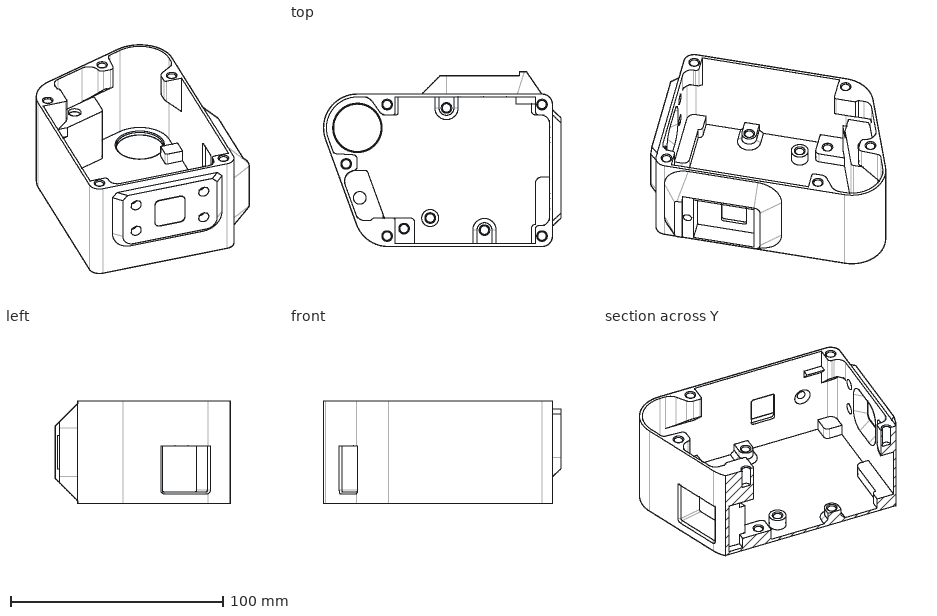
import cadquery as cq
import math

HEIGHT = 48.4
WALL = 1.4
FLOOR = 2.0
TINY = 0.01
CLEAR = 1.0
EPS = 0.2

SCREW_HALF_X = 36.5
SCREW_HALF_Y = 31.0
SCREW_INSET = 5.0
RIGHT = SCREW_HALF_X + SCREW_INSET
BACK = SCREW_HALF_Y + SCREW_INSET
BODY_LENGTH = 108.0
LEFT = RIGHT - BODY_LENGTH
SMALL_RADIUS = 5.0
LARGE_RADIUS = 16.0
SLANT = math.radians(20)

NOSE = (LEFT + LARGE_RADIUS, BACK - LARGE_RADIUS)
HEEL = (NOSE[0] + 2 * NOSE[1] * math.tan(SLANT), -NOSE[1])

SCREW_DIAMETER = 4.0
SCREW_RIM_DIAMETER = 5.0
SCREW_DEPTH = 10.0
SIDE_SCREW = (-55.8, 3.0)

TUBE_DIAMETER = 22.3
TUBE_RIM_DIAMETER = 23.3

BOSS_LEFT_X = -32.7
BOSS_RIGHT_X = 33.4
BOSS_EDGE_RADIUS = 1.5
BOSS_BLEND_RADIUS = 4.2
BOSS_TIP_RADIUS = 1.0
NOSE_SHOULDER_X = -39.0
NOSE_SHOULDER_RADIUS = 3.5
NOSE_WALL_X = -45.0
NOSE_BLEND_RADIUS = 5.5
HEEL_RAMP_X = (-44.3, -43.0)
HEEL_RAMP_DROP = 1.2
HEEL_BLEND_RADIUS = 4.5
SIDE_BOSS_X = -50.6
SIDE_BOSS_Y = (-0.2, 7.7)
SIDE_BOSS_RISE = 0.5
SIDE_BOSS_RADIUS = 2.0
SIDE_BLEND_RADIUS = 5.0
BOSS_INNER_Y = 26.1
HEEL_BOSS_Y = -22.5
BOSS_LIP = 10.6
BOSS_ROOT = BOSS_LIP + BACK - BOSS_INNER_Y
HEEL_BOSS_ROOT = BOSS_LIP + HEEL_BOSS_Y + BACK

BLOCK_TOP = 7.6
BLOCK_RADIUS = 2.0
BLOCK_RIGHT_X = 31.5
BLOCK_LEFT_X = -38.5
NOSE_BLOCK_X = -31.3
NOSE_BLOCK_RADIUS = 1.0
HEEL_BLOCK_X = -23.5
FRONT_BLOCK_Y = -25.5
POST_TOP = BLOCK_TOP
POST_RADIUS = 3.5
POST_FLARE = 2.0
ROUND_POST_RADIUS = 4.0
BACK_POST = (-8.5, 29.4)
FRONT_POST = (9.4, -28.2)
ROUND_POST = (-16.2, -22.5)
BLOCK_HOLE = (-28.5, -27.5)

RECESS_FLOOR = 5.5
RECESS_TOP = 27.2
RECESS_ROOF = 29.0
RECESS_CHAMFER = 1.0
RECESS_BACK_Y = -4.2
RECESS_DEPTH = 12.0
RECESS_DRAFT = math.radians(7)
RECESS_FILLET = 0.8
RECESS_CORNER_Y = -20.2
HOUSING_DEPTH_X = 14.3
HOUSING_BACK_Y = 0.0
HOUSING_END_Y = -28.0
HOUSING_RADIUS = 1.5
HOUSING_STEP_X = BLOCK_LEFT_X
HOUSING_STEP_Z = 24.0
RECESS_HOLE = (-49.4, -13.0)
RECESS_HOLE_DIAMETER = 6.0

HOOD_Z = HEIGHT / 2
HOOD_REACH = 10.5
HOOD_STEP_REACH = 8.6
HOOD_STEP_X = 25.8
HOOD_BASE_X = (-20.1, 36.4)
HOOD_TIP_X = (HOOD_BASE_X[0] + HOOD_REACH, 29.2)
HOOD_BASE_HALF_Z = 22.9
HOOD_BASE_RADIUS = 11.5
HOOD_TIP_RADIUS = 1.0
HOOD_POCKET_X = (-8.5, 20.5)
HOOD_POCKET_HEIGHT = 26.4
HOOD_SLOT_HEIGHT = 15.9
HOOD_SLOT_DEPTH = 2.0
HOOD_SLOT_Y = (8.6, 9.4)
WINDOW_X = (-3.1, 9.0)
WINDOW_Z = (16.3, 30.9)
WINDOW_RADIUS = 1.2
SINK_X = 23.5
SINK_DIAMETER = 8.0
SINK_HOLE_DIAMETER = 4.0

SIDE_REACH = 4.0
SIDE_TAPER = 3.8
SIDE_Y = 1.1
SIDE_BASE_HALF_Y = 27.4
SIDE_TOP_Z = 44.6
SIDE_BASE_Z = 12.6
SIDE_CHAMFER = 2.4
SIDE_BASE_RADIUS = 9.2
PORT_Y = 1.1
PORT_Z = 30.7
PORT_HALF_Y = 12.1
PORT_HALF_Z = 11.9
PORT_RADIUS = 7.0
PORT_TAPER = 4.6
PORT_LAND = 0.3
PORT_SCREW_HALF_Y = 16.9
PORT_SCREW_HALF_Z = 7.3
PORT_SCREW_DIAMETER = 5.0

LEDGE_X = 24.3
LEDGE_TOP = 39.4
LEDGE_DEPTH = 3.3
LEDGE_DROP = 3.8

PAD_X = BOSS_RIGHT_X
PAD_Y = -3.2
PAD_RADIUS = 3.0


def box(x_range, y_range, z_range):
    size = [r[1] - r[0] for r in (x_range, y_range, z_range)]
    corner = (x_range[0], y_range[0], z_range[0])
    return cq.Workplane("XY").box(*size, centered=False).translate(corner)


def prism(points, bottom, top):
    return cq.Workplane("XY").workplane(offset=bottom).polyline(points).close().extrude(top - bottom)


def round_uprights(body, corners, radius):
    """Fillet the vertical edges lying nearest to the given plan positions."""
    level = body.val().BoundingBox().center.z
    for x, y in corners:
        point = (x, y, level)
        body = body.edges("|Z").edges(cq.selectors.NearestToPointSelector(point)).fillet(radius)
    return body


def plan_body(inset, bottom, top):
    """Prism of the case outline, moved inward by inset."""
    large = LARGE_RADIUS - inset
    small = SMALL_RADIUS - inset

    def on_arc(center, radius, degrees):
        angle = math.radians(degrees)
        return (center[0] + radius * math.cos(angle), center[1] + radius * math.sin(angle))

    slant = math.degrees(SLANT)
    right, back = RIGHT - inset, BACK - inset
    corner_x, corner_y = RIGHT - SMALL_RADIUS, BACK - SMALL_RADIUS
    return (
        cq.Workplane("XY").workplane(offset=bottom)
        .moveTo(HEEL[0], -back)
        .lineTo(corner_x, -back)
        .threePointArc(on_arc((corner_x, -corner_y), small, -45), (right, -corner_y))
        .lineTo(right, corner_y)
        .threePointArc(on_arc((corner_x, corner_y), small, 45), (corner_x, back))
        .lineTo(NOSE[0], back)
        .threePointArc(on_arc(NOSE, large, 135), on_arc(NOSE, large, 180 + slant))
        .lineTo(*on_arc(HEEL, large, 180 + slant))
        .threePointArc(on_arc(HEEL, large, 225 + slant / 2), (HEEL[0], -back))
        .close()
        .extrude(top - bottom)
    )


def slant_x(y):
    """X of the slanted wall's outer face at a given Y."""
    return NOSE[0] - LARGE_RADIUS / math.cos(SLANT) + (NOSE[1] - y) * math.tan(SLANT)


def overhang(wall_point, inward_degrees, root):
    """Block under the rim whose underside rises inward at 45 degrees and then runs level."""
    length = 40.0
    level = HEIGHT - BOSS_LIP
    rise_end = (root - BOSS_LIP, level)
    profile = [(0, HEIGHT), (0, HEIGHT - root), rise_end, (length, level), (length, HEIGHT)]
    wedge = (
        cq.Workplane("XZ")
        .polyline(profile)
        .close()
        .extrude(length / 2, both=True)
    )
    return wedge.rotate((0, 0, 0), (0, 0, 1), inward_degrees).translate((*wall_point, 0))


def boss_fill(points, rounds):
    """Full-height boss filling the cavity over a plan polygon; rounds lists (radius, corners)."""
    base = HEIGHT - HEEL_BOSS_ROOT
    opening = plan_body(WALL, base, HEIGHT).cut(prism(points, base, HEIGHT))
    for radius, corners in rounds:
        opening = round_uprights(opening, corners, radius)
    return plan_body(EPS, base, HEIGHT).cut(opening)


def right_boss(side):
    y = side * BOSS_INNER_Y
    far_x, far_y = RIGHT + CLEAR, side * (BACK + CLEAR)
    points = [(BOSS_RIGHT_X, y), (far_x, y), (far_x, far_y), (BOSS_RIGHT_X, far_y)]
    rounds = [(BOSS_EDGE_RADIUS, [(BOSS_RIGHT_X, y)]), (BOSS_BLEND_RADIUS, [(RIGHT - WALL, y)])]
    body = boss_fill(points, rounds)
    return body.intersect(overhang((SCREW_HALF_X, side * BACK), -90 * side, BOSS_ROOT))


def nose_boss():
    y = BOSS_INNER_Y
    wall_y = BACK - WALL
    beyond = BACK + CLEAR
    shoulder, wall_end, tip = (NOSE_SHOULDER_X, y), (NOSE_WALL_X, wall_y), (BOSS_LEFT_X, y)
    points = [tip, (BOSS_LEFT_X, beyond), (NOSE_WALL_X, beyond), wall_end, shoulder]
    rounds = [
        (NOSE_BLEND_RADIUS, [wall_end]),
        (NOSE_SHOULDER_RADIUS, [shoulder]),
        (BOSS_TIP_RADIUS, [tip]),
    ]
    body = boss_fill(points, rounds)
    return body.intersect(overhang((-SCREW_HALF_X, BACK), -90, BOSS_ROOT))


def heel_boss():
    y = HEEL_BOSS_Y
    low_y = y - HEEL_RAMP_DROP
    ramp_low, ramp_high = HEEL_RAMP_X
    beyond_x, beyond_y = LEFT - CLEAR, -BACK - CLEAR
    tip = (BOSS_LEFT_X, y)
    points = [tip, (ramp_high, y), (ramp_low, low_y), (beyond_x, low_y), (beyond_x, beyond_y)]
    points.append((BOSS_LEFT_X, beyond_y))
    wall_end = (slant_x(low_y) + WALL / math.cos(SLANT), low_y)
    body = boss_fill(points, [(BOSS_TIP_RADIUS, [tip]), (HEEL_BLEND_RADIUS, [wall_end])])
    return body.intersect(overhang((-SCREW_HALF_X, -BACK), 90, HEEL_BOSS_ROOT))


def side_boss():
    low_y, high_y = SIDE_BOSS_Y
    beyond = LEFT - CLEAR
    low_tip = (SIDE_BOSS_X, low_y)
    high_tip = (SIDE_BOSS_X, high_y - SIDE_BOSS_RISE)
    points = [(beyond, low_y), low_tip, high_tip, (beyond, high_y + SIDE_BOSS_RISE)]
    wall_low = (slant_x(low_y) + WALL, low_y)
    wall_high = (slant_x(high_y) + WALL, high_y)
    rounds = [(SIDE_BOSS_RADIUS, [high_tip, low_tip, wall_high]), (SIDE_BLEND_RADIUS, [wall_low])]
    body = boss_fill(points, rounds)
    middle_y = SIDE_SCREW[1]
    return body.intersect(overhang((slant_x(middle_y), middle_y), math.degrees(SLANT), BOSS_ROOT))


def floor_blocks():
    wall_y = BACK - EPS
    wall_x = RIGHT - EPS
    back_y = (BOSS_INNER_Y, wall_y)
    blocks = [
        ((BLOCK_LEFT_X, NOSE_BLOCK_X), back_y, (NOSE_BLOCK_X, BOSS_INNER_Y), NOSE_BLOCK_RADIUS),
        ((BLOCK_RIGHT_X, wall_x), back_y, (BLOCK_RIGHT_X, BOSS_INNER_Y), BLOCK_RADIUS),
        ((BLOCK_RIGHT_X, wall_x), (-wall_y, FRONT_BLOCK_Y), (BLOCK_RIGHT_X, FRONT_BLOCK_Y), BLOCK_RADIUS),
        ((PAD_X, wall_x), (-wall_y, PAD_Y), (PAD_X, PAD_Y), PAD_RADIUS),
        ((BLOCK_LEFT_X, HEEL_BLOCK_X), (-wall_y, HEEL_BOSS_Y), (HEEL_BLOCK_X, HEEL_BOSS_Y), BLOCK_RADIUS),
    ]
    joined = plan_body(EPS, EPS, FLOOR)
    for x_range, y_range, corner, radius in blocks:
        block = box(x_range, y_range, (EPS, BLOCK_TOP))
        joined = joined.union(round_uprights(block, [corner], radius))
    return joined.intersect(plan_body(EPS, 0, HEIGHT))


def wall_post(center, side):
    """Post joined to the front (side -1) or back (side +1) wall, with a flared foot."""
    x, y = center
    wall_y = side * (BACK - EPS)

    def column(radius, top):
        length = abs(wall_y - y)
        stem = cq.Workplane("XY").center(x, (y + wall_y) / 2).rect(2 * radius, length).extrude(top)
        return stem.union(cq.Workplane("XY").center(x, y).circle(radius).extrude(top))

    foot = column(POST_RADIUS + POST_FLARE, FLOOR + POST_FLARE)
    foot = foot.faces(">Z").edges("not(|X)").chamfer(POST_FLARE - TINY)
    return column(POST_RADIUS, POST_TOP).union(foot)


def round_post():
    return cq.Workplane("XY").center(*ROUND_POST).circle(ROUND_POST_RADIUS).extrude(POST_TOP)


def ledge():
    wall_y = BACK - WALL
    profile = [
        (BACK - EPS, LEDGE_TOP),
        (wall_y - LEDGE_DEPTH, LEDGE_TOP),
        (wall_y, LEDGE_TOP - LEDGE_DROP),
        (BACK - EPS, LEDGE_TOP - LEDGE_DROP),
    ]
    length = BOSS_RIGHT_X + CLEAR - LEDGE_X
    return cq.Workplane("YZ").workplane(offset=LEDGE_X).polyline(profile).close().extrude(length)


def recess_housing():
    def inner(y):
        return (slant_x(y) + HOUSING_DEPTH_X, y)

    def outer(y):
        return (slant_x(y) + EPS, y)

    back_y, end_y = HOUSING_BACK_Y, HOUSING_END_Y
    body = prism([outer(back_y), inner(back_y), inner(end_y), outer(end_y)], EPS, RECESS_ROOF)
    body = round_uprights(body, [inner(back_y)], HOUSING_RADIUS)
    step = box((HOUSING_STEP_X, 0), (-BACK, 0), (HOUSING_STEP_Z, HEIGHT))
    return body.cut(step).intersect(plan_body(EPS, 0, HEIGHT))


def recess_cut():
    overrun = 8.0

    def along(point, angle, distance):
        return (point[0] + distance * math.cos(angle), point[1] + distance * math.sin(angle))

    mouth = (slant_x(RECESS_BACK_Y), RECESS_BACK_Y)
    nose_angle = SLANT - RECESS_DRAFT
    heel_angle = SLANT + RECESS_DRAFT
    nose_corner = along(mouth, nose_angle, RECESS_DEPTH / math.cos(RECESS_DRAFT))
    heel_corner = (slant_x(RECESS_CORNER_Y) + RECESS_DEPTH / math.cos(SLANT), RECESS_CORNER_Y)
    heel_outer = along(heel_corner, heel_angle, -RECESS_DEPTH - overrun)
    points = [along(mouth, nose_angle, -overrun), nose_corner, heel_corner, heel_outer]
    body = prism(points, RECESS_FLOOR, RECESS_TOP)
    for side_point in (mouth, along(heel_corner, heel_angle, -RECESS_DEPTH)):
        lower_edge = cq.selectors.NearestToPointSelector((*side_point, RECESS_FLOOR))
        body = body.edges(lower_edge).fillet(RECESS_FILLET)
    hole = cq.Workplane("XY").workplane(offset=RECESS_TOP - EPS).center(*RECESS_HOLE)
    hole = hole.circle(RECESS_HOLE_DIAMETER / 2).extrude(RECESS_ROOF + CLEAR - RECESS_TOP)
    return body.union(hole)


def chamfer_recess(body):
    """Chamfer both sides and the lower edge of the recess mouth."""
    middle_z = (RECESS_FLOOR + RECESS_TOP) / 2
    mouth_edge = cq.selectors.NearestToPointSelector((slant_x(RECESS_BACK_Y), RECESS_BACK_Y, middle_z))
    return body.edges(mouth_edge).chamfer(RECESS_CHAMFER)


def loft_rects(plane, distance, near, far):
    """Ruled loft between two rounded rectangles, each given as (center, size, radius)."""
    sketches = []
    for (center, size, radius), offset in ((near, 0), (far, distance)):
        sketch = cq.Sketch().push([center]).rect(*size).reset().vertices().fillet(radius)
        sketches.append(sketch.moved(cq.Location(cq.Vector(0, 0, offset))))
    return plane.placeSketch(*sketches).loft(ruled=True)


def back_hood():
    def section(x_range, half_z, radius):
        center = (sum(x_range) / 2, HOOD_Z)
        return (center, (x_range[1] - x_range[0], 2 * half_z), radius)

    plane = cq.Workplane(cq.Plane((0, BACK, 0), (1, 0, 0), (0, -1, 0)))
    tip_half_z = HOOD_BASE_HALF_Z - HOOD_REACH
    near = section(HOOD_BASE_X, HOOD_BASE_HALF_Z, HOOD_BASE_RADIUS)
    far = section(HOOD_TIP_X, tip_half_z, HOOD_TIP_RADIUS)
    hood = loft_rects(plane, -HOOD_REACH, near, far)
    step = box((LEFT, HOOD_STEP_X), (BACK + HOOD_STEP_REACH, BACK + HOOD_REACH + CLEAR), (0, HEIGHT))
    return hood.cut(step)


def centered_z(height):
    return (HOOD_Z - height / 2, HOOD_Z + height / 2)


def back_openings():
    inside = BACK - WALL
    beyond = BACK + HOOD_REACH + CLEAR
    window = box(WINDOW_X, (inside - CLEAR, beyond), WINDOW_Z)
    window = window.edges("|Y").fillet(WINDOW_RADIUS)
    pocket = box(HOOD_POCKET_X, (BACK, beyond), centered_z(HOOD_POCKET_HEIGHT))
    slot_x = (HOOD_STEP_X - CLEAR, HOOD_STEP_X + HOOD_SLOT_DEPTH)
    slot = box(slot_x, [BACK + y for y in HOOD_SLOT_Y], centered_z(HOOD_SLOT_HEIGHT))
    plane = cq.Plane((SINK_X, inside, HOOD_Z), (1, 0, 0), (0, 1, 0))
    sink_radius, hole_radius = SINK_DIAMETER / 2, SINK_HOLE_DIAMETER / 2
    sink = cq.Solid.makeCone(sink_radius, hole_radius, WALL, plane.origin, plane.zDir)
    hole = cq.Workplane(plane).circle(hole_radius).extrude(beyond - inside)
    return window.union(pocket).union(slot).union(hole).union(cq.Workplane(sink))


def side_hood():
    def section(x, shrink):
        half_y = SIDE_BASE_HALF_Y - shrink
        low = SIDE_BASE_Z + shrink
        radius = SIDE_BASE_RADIUS - shrink
        bend = radius * (1 - math.sqrt(0.5))
        left, right = SIDE_Y - half_y, SIDE_Y + half_y
        shoulder = SIDE_TOP_Z - SIDE_CHAMFER
        return (
            cq.Workplane("YZ").workplane(offset=x)
            .moveTo(left + radius, low)
            .lineTo(right - radius, low)
            .threePointArc((right - bend, low + bend), (right, low + radius))
            .lineTo(right, shoulder)
            .lineTo(right - SIDE_CHAMFER, SIDE_TOP_Z)
            .lineTo(left + SIDE_CHAMFER, SIDE_TOP_Z)
            .lineTo(left, shoulder)
            .lineTo(left, low + radius)
            .threePointArc((left + bend, low + bend), (left + radius, low))
            .close()
            .val()
        )

    wires = [section(RIGHT, 0), section(RIGHT + SIDE_REACH, SIDE_TAPER)]
    return cq.Workplane(cq.Solid.makeLoft(wires, True))


def side_openings():
    depth = SIDE_REACH + WALL
    plane = cq.Workplane("YZ").workplane(offset=RIGHT - WALL)
    center = (PORT_Y, PORT_Z)
    near = (center, (2 * PORT_HALF_Y, 2 * PORT_HALF_Z), PORT_RADIUS)
    far_size = (2 * (PORT_HALF_Y - PORT_TAPER), 2 * (PORT_HALF_Z - PORT_TAPER))
    far = (center, far_size, PORT_RADIUS - PORT_TAPER)
    port = loft_rects(plane, depth - PORT_LAND, near, far)
    land = plane.center(*center).rect(*far_size).extrude(depth).edges("|X").fillet(far[2])
    holes = (
        plane.center(*center)
        .rect(2 * PORT_SCREW_HALF_Y, 2 * PORT_SCREW_HALF_Z, forConstruction=True)
        .vertices()
        .circle(PORT_SCREW_DIAMETER / 2)
        .extrude(depth)
    )
    return port.union(land).union(holes)


def rimmed_hole(center, top, depth, diameter, rim_diameter):
    """Cutter for a round hole with a 45 degree chamfer at its upper rim."""
    x, y = center
    radius, rim = diameter / 2, rim_diameter / 2
    chamfer = rim - radius
    profile = [(0, top), (rim, top), (radius, top - chamfer), (radius, top - depth), (0, top - depth)]
    body = cq.Workplane("XZ").polyline(profile).close().revolve(360, (0, 0, 0), (0, 1, 0))
    return body.translate((x, y, 0))


def screw_holes():
    corners = [(sx * SCREW_HALF_X, sy * SCREW_HALF_Y) for sx in (-1, 1) for sy in (-1, 1)]
    places = [(point, HEIGHT, SCREW_DEPTH) for point in corners + [SIDE_SCREW]]
    low_points = (BACK_POST, FRONT_POST, ROUND_POST, BLOCK_HOLE)
    places += [(point, POST_TOP, POST_TOP - FLOOR) for point in low_points]
    cutter = rimmed_hole(NOSE, FLOOR, FLOOR, TUBE_DIAMETER, TUBE_RIM_DIAMETER)
    for point, top, depth in places:
        cutter = cutter.union(rimmed_hole(point, top, depth, SCREW_DIAMETER, SCREW_RIM_DIAMETER))
    return cutter


case = plan_body(0, 0, HEIGHT).cut(plan_body(WALL, FLOOR, HEIGHT))
for feature in (
    right_boss(1),
    right_boss(-1),
    nose_boss(),
    heel_boss(),
    side_boss(),
    floor_blocks(),
    wall_post(BACK_POST, 1),
    wall_post(FRONT_POST, -1),
    round_post(),
    ledge(),
    recess_housing(),
    back_hood(),
    side_hood(),
):
    case = case.union(feature)

for cutter in (recess_cut(), back_openings(), side_openings(), screw_holes()):
    case = case.cut(cutter)

result = chamfer_recess(case)